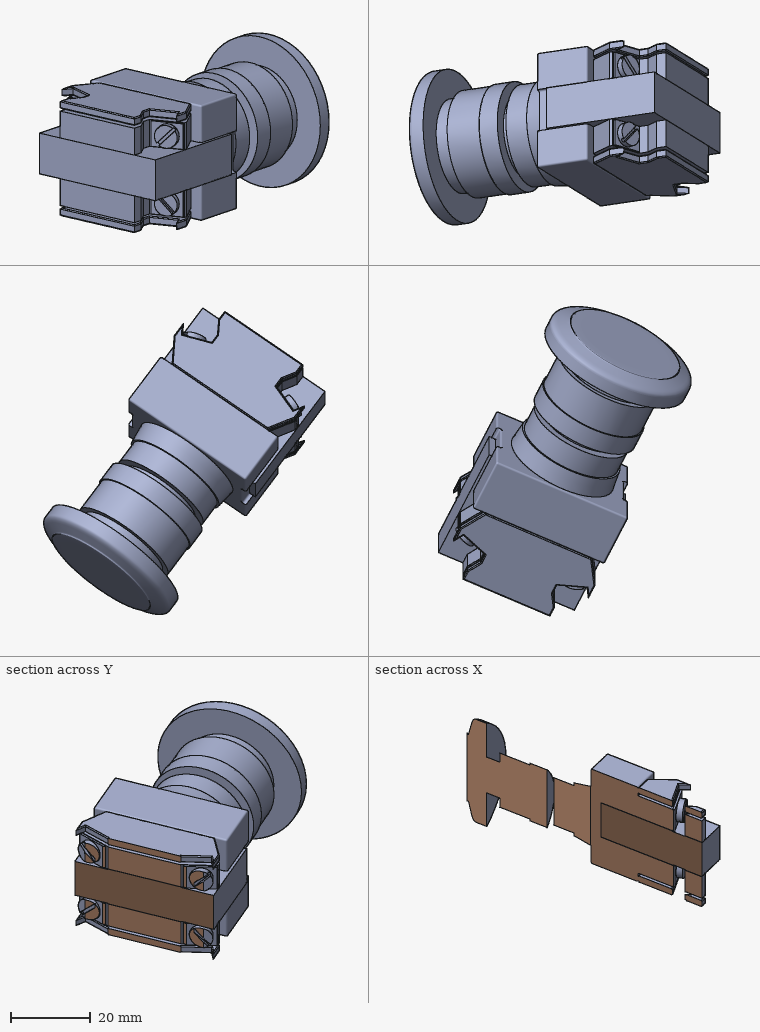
import cadquery as cq
import math

TOTAL_LENGTH = 70.0

CAP_DIAMETER = 39.0
CAP_FLAT_DIAMETER = 24.5
CAP_REAR_Y = 64.05
CAP_RIM_TOP_Y = 67.1
CAP_DOME_POINTS = [(19.05, 68.05), (17.2, 68.8), (14.9, 69.65)]
STEM_STEPS = [(26.0, 44.2), (21.0, 46.05), (28.0, 51.2), (27.3, 60.2), (24.0, CAP_REAR_Y)]
FLARE_BASE_DIAMETER = 28.3
FLARE_TOP_DIAMETER = 27.0
FLARE_TOP_Y = 38.15

BLOCK_WIDTH = 36.25
BLOCK_HEIGHT = 30.0
BLOCK_REAR_Y = 19.0
BLOCK_FRONT_Y = 33.05
BLOCK_FILLET = 0.5
SIDE_RECESS_DEPTH = 1.05
SIDE_RECESS_HEIGHT = 10.85

SLAB_WIDTH = 37.65
SLAB_HEIGHT = 10.65
SLAB_LENGTH = 29.95

CONTACT_TOP_Z = 12.3
PLATE_GAP = 0.6
PLATE_CHAMFER = 0.3
REAR_HALF_WIDTH = 12.05
WAIST_HALF_WIDTH = 9.95
CONTACT_HALF_WIDTH = 18.6
NECK_HALF_WIDTH = 14.7
REAR_SIDE_END_Y = 2.65
WAIST_START_Y = 6.1
SHOULDER_Y = 12.6
TERMINAL_ANGLE = 20.0
TERMINAL_SEAT_OUTER_Y = 11.7
PRONG_ROOT_X = 17.1
PRONG_TIP_Y = 8.6

TERMINAL_THICKNESS = 0.55
TERMINAL_INNER_X = 10.4
TERMINAL_END_CLEARANCE = 0.15
SCREW_DIAMETER = 6.0
SCREW_HEAD_HEIGHT = 1.6
SCREW_X = 14.7
SCREW_SLOT_WIDTH = 0.85
SCREW_SLOT_DEPTH = 0.9
SCREW_SLOT_ANGLE = 45.0

PLATE_BOTTOM_Z = CONTACT_TOP_Z + PLATE_GAP
PLATE_TOP_Z = BLOCK_HEIGHT / 2
SEAT_SLOPE = math.tan(math.radians(TERMINAL_ANGLE))
SEAT_NORMAL = (math.sin(math.radians(TERMINAL_ANGLE)), -math.cos(math.radians(TERMINAL_ANGLE)))


def seat_y(x):
    """Y of the sloping terminal seat at distance x from the centre plane."""
    return TERMINAL_SEAT_OUTER_Y - (CONTACT_HALF_WIDTH - x) * SEAT_SLOPE


def off_seat(x, distance):
    """Point lifted off the terminal seat along its normal."""
    return (x + SEAT_NORMAL[0] * distance, seat_y(x) + SEAT_NORMAL[1] * distance)


def y_box(width, height, start_y, end_y):
    """Box centred on the button axis between two Y positions."""
    return (
        cq.Workplane("XY")
        .box(width, end_y - start_y, height)
        .translate((0, (start_y + end_y) / 2, 0))
    )


def slab_prism(points, bottom_z, top_z):
    """Closed XY outline extruded between two heights."""
    return cq.Workplane("XY").workplane(offset=bottom_z).polyline(points).close().extrude(top_z - bottom_z)


def make_operator():
    """Flared base, stepped stem and mushroom cap turned about the Y axis."""
    stem = [
        (0, BLOCK_FRONT_Y),
        (FLARE_BASE_DIAMETER / 2, BLOCK_FRONT_Y),
        (FLARE_TOP_DIAMETER / 2, FLARE_TOP_Y),
    ]
    start_y = FLARE_TOP_Y
    for diameter, end_y in STEM_STEPS:
        stem += [(diameter / 2, start_y), (diameter / 2, end_y)]
        start_y = end_y
    cap_radius = CAP_DIAMETER / 2
    dome = CAP_DOME_POINTS + [(CAP_FLAT_DIAMETER / 2, TOTAL_LENGTH)]
    return (
        cq.Workplane("XY")
        .polyline(stem)
        .lineTo(cap_radius, CAP_REAR_Y)
        .lineTo(cap_radius, CAP_RIM_TOP_Y)
        .spline(dome, tangents=[(0, 1), (-1, 0)], includeCurrent=True)
        .lineTo(0, TOTAL_LENGTH)
        .close()
        .revolve(360, (0, 0, 0), (0, 1, 0))
    )


def make_block():
    """Rounded block with a shallow recess, rounded at corners and front edge, along each side."""
    block = y_box(BLOCK_WIDTH, BLOCK_HEIGHT, BLOCK_REAR_Y, BLOCK_FRONT_Y).edges().fillet(BLOCK_FILLET)
    core_width = BLOCK_WIDTH - 2 * SIDE_RECESS_DEPTH
    core = y_box(core_width, SIDE_RECESS_HEIGHT, BLOCK_REAR_Y, BLOCK_FRONT_Y)
    core = core.edges("|Z and >Y").fillet(BLOCK_FILLET)
    recesses = y_box(2 * BLOCK_WIDTH, SIDE_RECESS_HEIGHT, BLOCK_REAR_Y, BLOCK_FRONT_Y).cut(core)
    recess_corners = cq.selectors.BoxSelector(
        (-BLOCK_WIDTH / 2, BLOCK_REAR_Y, -BLOCK_HEIGHT / 2),
        (BLOCK_WIDTH / 2, BLOCK_FRONT_Y, BLOCK_HEIGHT / 2),
    )
    recesses = recesses.edges("|Y").edges(recess_corners).fillet(BLOCK_FILLET)
    return block.cut(recesses)


def mirrored_outline(right_side):
    """Close a right-hand outline with its mirror image across X = 0."""
    return right_side + [(-x, y) for x, y in reversed(right_side)]


REAR_OUTLINE = [
    (REAR_HALF_WIDTH, 0),
    (REAR_HALF_WIDTH, REAR_SIDE_END_Y),
    (WAIST_HALF_WIDTH, WAIST_START_Y),
    (WAIST_HALF_WIDTH, seat_y(WAIST_HALF_WIDTH)),
]
FRONT_OUTLINE = [
    (CONTACT_HALF_WIDTH, SHOULDER_Y),
    (NECK_HALF_WIDTH, BLOCK_REAR_Y),
]


def make_contact():
    """Upper contact body, resting on the centre slab."""
    outline = REAR_OUTLINE + [(CONTACT_HALF_WIDTH, TERMINAL_SEAT_OUTER_Y)] + FRONT_OUTLINE
    return slab_prism(mirrored_outline(outline), SLAB_HEIGHT / 2, CONTACT_TOP_Z)


def make_cover_plate():
    """Chamfered plate above the contact, with a prong beside each terminal."""
    prong = [
        (PRONG_ROOT_X, seat_y(PRONG_ROOT_X)),
        (CONTACT_HALF_WIDTH, PRONG_TIP_Y),
    ]
    plate = slab_prism(mirrored_outline(REAR_OUTLINE + prong + FRONT_OUTLINE), PLATE_BOTTOM_Z, PLATE_TOP_Z)
    return plate.faces("|Z").chamfer(PLATE_CHAMFER)


def make_terminal():
    """Sloping terminal pad with its slotted screw head, on the +X side."""
    rise = TERMINAL_THICKNESS
    outer_x = CONTACT_HALF_WIDTH - SEAT_NORMAL[0] * rise
    pad = slab_prism(
        [
            off_seat(TERMINAL_INNER_X, 0),
            off_seat(TERMINAL_INNER_X, rise),
            off_seat(outer_x, rise),
            off_seat(outer_x, 0),
        ],
        SLAB_HEIGHT / 2 + TERMINAL_END_CLEARANCE,
        CONTACT_TOP_Z - TERMINAL_END_CLEARANCE,
    )
    screw_z = (SLAB_HEIGHT / 2 + CONTACT_TOP_Z) / 2
    screw_plane = cq.Plane(
        origin=(*off_seat(SCREW_X, rise), screw_z),
        xDir=(math.cos(math.radians(TERMINAL_ANGLE)), math.sin(math.radians(TERMINAL_ANGLE)), 0),
        normal=(SEAT_NORMAL[0], SEAT_NORMAL[1], 0),
    )
    head = cq.Workplane(screw_plane).circle(SCREW_DIAMETER / 2).extrude(SCREW_HEAD_HEIGHT)
    slot = (
        cq.Workplane(screw_plane)
        .workplane(offset=SCREW_HEAD_HEIGHT - SCREW_SLOT_DEPTH)
        .transformed(rotate=(0, 0, SCREW_SLOT_ANGLE))
        .rect(2 * SCREW_DIAMETER, SCREW_SLOT_WIDTH)
        .extrude(SCREW_SLOT_DEPTH)
    )
    return pad.union(head.cut(slot))


def make_housing(slab):
    """Block, two contacts, cover plates and four terminals as one solid, cleared for the slab."""
    terminal = make_terminal()
    upper = make_contact().union(make_cover_plate()).union(terminal).union(terminal.mirror("YZ"))
    housing = make_block().union(upper).union(upper.mirror("XY"))
    return housing.cut(slab)


def make_slab():
    """Plain slab held between the two contacts."""
    return y_box(SLAB_WIDTH, SLAB_HEIGHT, 0, SLAB_LENGTH)


operator = make_operator()
slab = make_slab()
housing = make_housing(slab)

result = cq.Compound.makeCompound([operator.val(), housing.solids().val(), slab.val()])